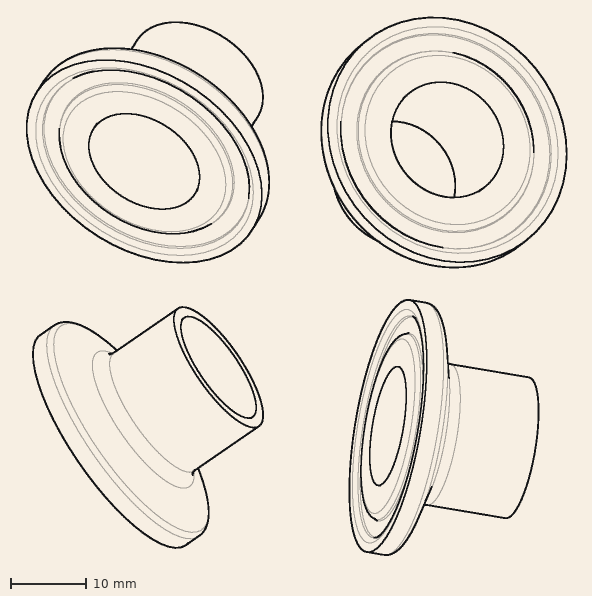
import cadquery as cq
import math

flange_radius = 17.0
tube_radius = 19.0 / 2
bore_radius = 16.0 / 2
length = 18.0

rim_height = 2.9
cone_angle = 20.0
rim_fillet = 0.8
neck_fillet = 2.0

groove_radius = 13.75
groove_depth = 1.6
groove_bottom_round = 1.2
groove_edge_round = 0.8
wall_angle = 70.0

sealing_face = -length / 2
tube_end = length / 2


def make_body():
    """Revolve the outer outline and round the rim and the neck."""
    rim_y = sealing_face + rim_height
    cone_rise = (flange_radius - tube_radius) * math.tan(math.radians(cone_angle))
    neck_y = rim_y + cone_rise
    body = (
        cq.Workplane("XY")
        .moveTo(bore_radius, sealing_face)
        .lineTo(flange_radius, sealing_face)
        .lineTo(flange_radius, rim_y)
        .lineTo(tube_radius, neck_y)
        .lineTo(tube_radius, tube_end)
        .lineTo(bore_radius, tube_end)
        .close()
        .revolve(360, (0, 0, 0), (0, 1, 0))
    )
    margin = 0.05
    for edge_radius, edge_y, fillet in (
        (flange_radius, rim_y, rim_fillet),
        (tube_radius, neck_y, neck_fillet),
    ):
        edge_box = cq.selectors.BoxSelector(
            (-edge_radius - margin, edge_y - margin, -edge_radius - margin),
            (edge_radius + margin, edge_y + margin, edge_radius + margin),
            boundingbox=True,
        )
        body = body.edges(edge_box).fillet(fillet)
    return body


def make_groove():
    """Ring to cut from the sealing face, symmetric about the groove radius."""
    sine = math.sin(math.radians(wall_angle))
    cosine = math.cos(math.radians(wall_angle))
    half_angle = math.radians(wall_angle / 2)

    rounds_depth = (groove_bottom_round + groove_edge_round) * (1 - cosine)
    wall_width = (groove_depth - rounds_depth) * cosine / sine

    bottom_half_width = groove_bottom_round * sine
    edge_start = bottom_half_width + wall_width
    half_width = edge_start + groove_edge_round * sine
    bottom_y = sealing_face + groove_depth
    wall_inner_y = bottom_y - groove_bottom_round * (1 - cosine)
    wall_outer_y = sealing_face + groove_edge_round * (1 - cosine)
    edge_mid = half_width - groove_edge_round * math.sin(half_angle)
    edge_mid_y = sealing_face + groove_edge_round * (1 - math.cos(half_angle))

    return (
        cq.Workplane("XY")
        .moveTo(groove_radius - half_width, sealing_face)
        .threePointArc((groove_radius - edge_mid, edge_mid_y), (groove_radius - edge_start, wall_outer_y))
        .lineTo(groove_radius - bottom_half_width, wall_inner_y)
        .threePointArc((groove_radius, bottom_y), (groove_radius + bottom_half_width, wall_inner_y))
        .lineTo(groove_radius + edge_start, wall_outer_y)
        .threePointArc((groove_radius + edge_mid, edge_mid_y), (groove_radius + half_width, sealing_face))
        .close()
        .revolve(360, (0, 0, 0), (0, 1, 0))
    )


result = make_body().cut(make_groove())